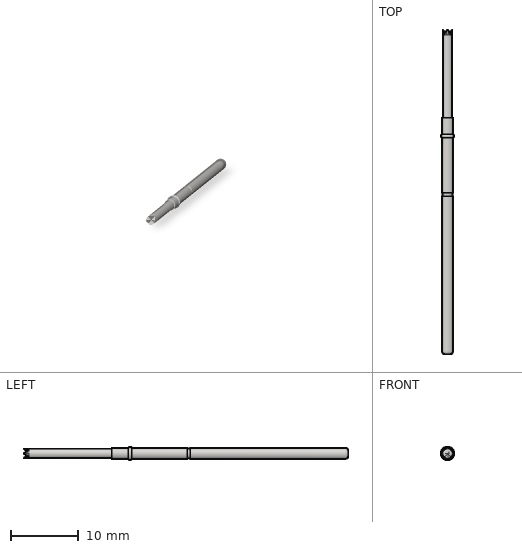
import cadquery as cq
import math

total_length = 47.9
tip_y = total_length / 2
tail_y = -total_length / 2

plunger_radius = 0.7
plunger_length = 13.0
groove_angle = 65.0
crown_turn = 45.0

barrel_radius = 0.825
barrel_y = tip_y - plunger_length

collar_radius = 1.0
collar_width = 0.5
collar_setback = 2.45

crimp_depth = 0.1
crimp_width = 0.5
crimp_setback = 11.1

end_flat_radius = 0.38
end_rounding = barrel_radius - end_flat_radius


def make_barrel():
    """Revolved barrel with collar, crimp groove and rounded tail end."""
    collar_start = barrel_y - collar_setback
    crimp_start = barrel_y - crimp_setback
    arc_offset = end_rounding * math.sin(math.radians(45))
    profile = (
        cq.Workplane("YZ")
        .moveTo(barrel_y, 0)
        .lineTo(barrel_y, barrel_radius)
        .lineTo(collar_start, barrel_radius)
        .threePointArc(
            (collar_start - collar_width / 2, collar_radius),
            (collar_start - collar_width, barrel_radius),
        )
        .lineTo(crimp_start, barrel_radius)
        .threePointArc(
            (crimp_start - crimp_width / 2, barrel_radius - crimp_depth),
            (crimp_start - crimp_width, barrel_radius),
        )
        .lineTo(tail_y + end_rounding, barrel_radius)
        .threePointArc(
            (tail_y + end_rounding - arc_offset, end_flat_radius + arc_offset),
            (tail_y, end_flat_radius),
        )
        .lineTo(tail_y, 0)
        .close()
    )
    return profile.revolve(360, (0, 0, 0), (1, 0, 0))


def make_plunger():
    """Plain rod with four points left between two crossed V grooves."""
    rod = (
        cq.Workplane("XZ", origin=(0, barrel_y, 0))
        .circle(plunger_radius)
        .extrude(-plunger_length)
    )
    half_width = plunger_radius * math.sin(math.radians(crown_turn))
    depth = half_width / math.tan(math.radians(groove_angle / 2))
    groove = (
        cq.Workplane("XY")
        .moveTo(0, tip_y - depth)
        .lineTo(2 * half_width, tip_y + depth)
        .lineTo(-2 * half_width, tip_y + depth)
        .close()
        .extrude(2 * plunger_radius, both=True)
    )
    for turn in (crown_turn, -crown_turn):
        rod = rod.cut(groove.rotate((0, 0, 0), (0, 1, 0), turn))
    return rod


result = make_barrel().union(make_plunger())